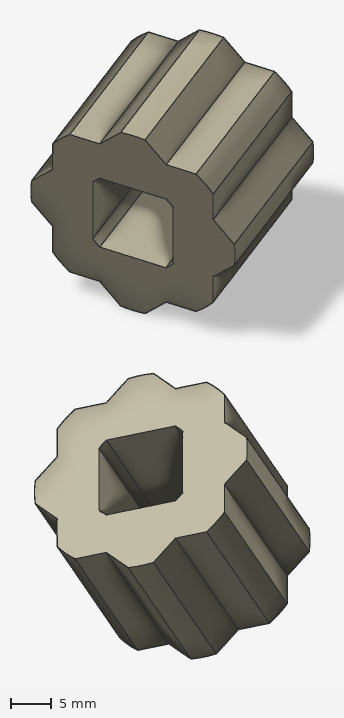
import cadquery as cq

outer_diameter = 27.98
length = 22.0
outer_square = 22.0
bore_square = outer_square / 2
bore_diameter = 14.25


def trimmed_square(side, diameter):
    """Square prism along Y whose corners are rounded off by a coaxial cylinder."""
    square = cq.Workplane("XZ").rect(side, side).extrude(length / 2, both=True)
    cylinder = cq.Workplane("XZ").circle(diameter / 2).extrude(length / 2, both=True)
    return square.intersect(cylinder)


upright = trimmed_square(outer_square, outer_diameter)
diagonal = upright.rotate((0, 0, 0), (0, 1, 0), 45)
body = upright.union(diagonal)

bore = trimmed_square(bore_square, bore_diameter)
result = body.cut(bore)